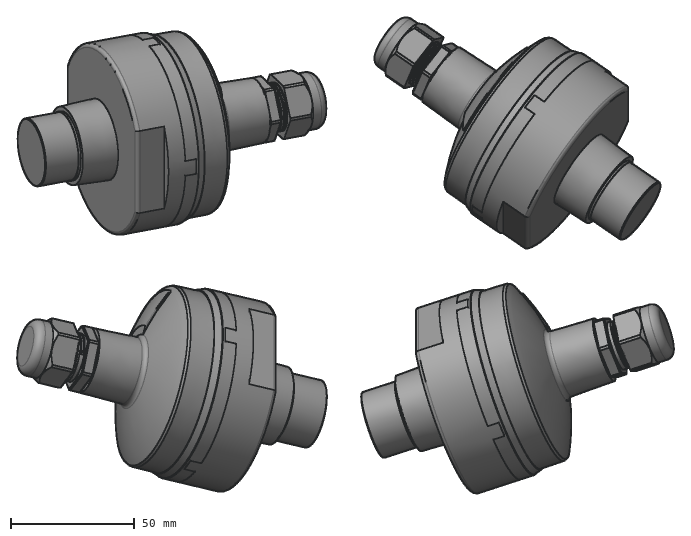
import cadquery as cq
import math


PROBE_R = 14.0
PROBE_CHAMFER = 0.4
COLLAR_R = 14.3
COLLAR_Y = 14.7
BOSS_Y = 15.7
BOSS_TIP_R = 16.2
BOSS_ROOT_R = 16.8
HOUSING_Y = 31.0
HOUSING_DIAMETER = 78.9
HOUSING_R = HOUSING_DIAMETER / 2
HOUSING_FILLET = 1.5
FLAT_X = 35.0
FLAT_END_Y = 43.3

JOINT_Y = 50.8
TAB_COUNT = 4
TAB_WIDTH = 6.6
TAB_HEIGHT = 4.8
TAB_DEPTH = 3.8

RIM_Y = 56.6
RIM_CHAMFER = 0.3
BEVEL_TOP_R = 38.2
BEVEL_TOP_Y = 59.9
DRUM_BASE_R = 37.9
DRUM_TOP_R = 37.7
DRUM_TOP_Y = 70.0
DOME_BASE_R = 37.2
DOME_BASE_Y = 71.2
DOME_MID_R = 26.6
DOME_MID_Y = 75.8
DOME_TOP_R = 15.3
DOME_TOP_Y = 79.3
NECK_ROOT_MID_R = 14.3
NECK_ROOT_MID_Y = 80.0
NECK_BASE_R = 13.9
NECK_BASE_Y = 81.4
NECK_TOP_R = 13.4
NECK_TOP_Y = 99.8

PAD_ANGLE = 80.0
PAD_OUTER_R = 35.3
PAD_EDGE_Y = 72.7
PAD_MID_R = 27.5
PAD_MID_Y = 76.2
PAD_TOP_R = 19.1
PAD_CORNER_R = 1.3
PAD_EDGE_FILLET = 0.4

HEX_ACROSS_FLATS = 23.8
HEX_CORNER_R = 13.4
GLAND_HEX_TOP_Y = 104.8
GLAND_HEX_CHAMFER = 0.5
THREAD_R = 10.1
THREAD_PITCH = 1.5
THREAD_DEPTH = 0.6
THREAD_GROOVE_WIDTH = 1.1
GROOVE_OVERSHOOT = 0.1
THREAD_START_Y = 105.9
THREAD_START_ANGLE = 155.0
THREAD_TURNS = 4
NUT_Y = 108.6
THREAD_ENGAGEMENT = 7.6
NUT_HEX_TOP_Y = 119.5
NUT_CHAMFER = 1.6
NUT_DOME_R = 11.8
NUT_DOME_FILLET = 3.5
OVERALL_LENGTH = 126.6


def disc(radius, y_from, y_to):
    """Cylinder on the Y axis."""
    return cq.Workplane("XZ", origin=(0, y_from, 0)).circle(radius).extrude(y_from - y_to)


def hexagon(y_from, y_to):
    """Hexagonal prism on the Y axis, with one pair of flats facing +Z and -Z."""
    across_corners = HEX_ACROSS_FLATS / math.cos(math.pi / 6)
    return cq.Workplane("XZ", origin=(0, y_from, 0)).polygon(6, across_corners).extrude(y_from - y_to)


def revolve_about_y(profile, angle=360.0):
    """Revolve a closed-up (radius, Y) profile; the sweep is centred on the +Z direction."""
    turned = profile.close().revolve(angle, (0, 0, 0), (0, 1, 0))
    return turned.rotate((0, 0, 0), (0, 1, 0), -90.0 - angle / 2)


def make_tabs():
    """Blocks that key the housing into the cap rim, spaced evenly around the axis."""
    rim = disc(HOUSING_R, JOINT_Y, JOINT_Y + TAB_HEIGHT)
    rim = rim.cut(disc(HOUSING_R - TAB_DEPTH, JOINT_Y, JOINT_Y + TAB_HEIGHT))
    tabs = cq.Workplane()
    for index in range(TAB_COUNT):
        block = (
            cq.Workplane("XY")
            .box(TAB_WIDTH, TAB_HEIGHT, HOUSING_R, centered=(True, False, False))
            .translate((0, JOINT_Y, 0))
            .rotate((0, 0, 0), (0, 1, 0), index * 360.0 / TAB_COUNT)
        )
        tabs = tabs.add(rim.intersect(block))
    return tabs


def make_housing(tabs):
    """Flanged body with wrench flats, carrying the tapered boss and probe in front and the tabs behind."""
    body = disc(HOUSING_R, HOUSING_Y, JOINT_Y)
    flat_length = FLAT_END_Y - HOUSING_Y
    for side in (-1, 1):
        waste = cq.Workplane("XY").box(HOUSING_R, flat_length, 2 * HOUSING_R).translate(
            (side * (FLAT_X + HOUSING_R / 2), HOUSING_Y + flat_length / 2, 0)
        )
        body = body.cut(waste)
    body = body.faces("<Y").edges().fillet(HOUSING_FILLET)

    probe = revolve_about_y(
        cq.Workplane("XY")
        .moveTo(0, 0)
        .lineTo(PROBE_R - PROBE_CHAMFER, 0)
        .lineTo(PROBE_R, PROBE_CHAMFER)
        .lineTo(PROBE_R, COLLAR_Y)
        .lineTo(COLLAR_R, COLLAR_Y)
        .lineTo(COLLAR_R, BOSS_Y)
        .lineTo(BOSS_TIP_R, BOSS_Y)
        .lineTo(BOSS_ROOT_R, HOUSING_Y)
        .lineTo(0, HOUSING_Y)
    )
    housing = body.union(probe)
    for tab in tabs.vals():
        housing = housing.union(cq.Workplane(tab))
    return housing


def make_label_pad():
    """Sector of a raised shell on the dome, centred on +Z; its root is buried in the dome."""
    profile = (
        cq.Workplane("XY")
        .moveTo(DOME_TOP_R, DRUM_TOP_Y)
        .lineTo(PAD_OUTER_R, DRUM_TOP_Y)
        .lineTo(PAD_OUTER_R, PAD_EDGE_Y)
        .threePointArc((PAD_MID_R, PAD_MID_Y), (PAD_TOP_R, DOME_TOP_Y))
        .lineTo(DOME_TOP_R, DOME_TOP_Y)
    )
    pad = revolve_about_y(profile, PAD_ANGLE)
    pad = pad.edges("|Y").edges(">Z").fillet(PAD_CORNER_R)
    return pad.faces(">Z").edges(">Y").fillet(PAD_EDGE_FILLET)


def make_cap(tabs):
    """Domed cap with a tapered neck; its rim is notched where the housing tabs enter."""
    shell = revolve_about_y(
        cq.Workplane("XY")
        .moveTo(0, JOINT_Y)
        .lineTo(HOUSING_R, JOINT_Y)
        .lineTo(HOUSING_R, RIM_Y)
        .lineTo(HOUSING_R - RIM_CHAMFER, RIM_Y + RIM_CHAMFER)
        .lineTo(BEVEL_TOP_R, BEVEL_TOP_Y)
        .lineTo(DRUM_BASE_R, BEVEL_TOP_Y)
        .lineTo(DRUM_TOP_R, DRUM_TOP_Y)
        .lineTo(DOME_BASE_R, DOME_BASE_Y)
        .threePointArc((DOME_MID_R, DOME_MID_Y), (DOME_TOP_R, DOME_TOP_Y))
        .threePointArc((NECK_ROOT_MID_R, NECK_ROOT_MID_Y), (NECK_BASE_R, NECK_BASE_Y))
        .lineTo(NECK_TOP_R, NECK_TOP_Y)
        .lineTo(0, NECK_TOP_Y)
    )
    cap = shell.union(make_label_pad())
    for tab in tabs.vals():
        cap = cap.cut(cq.Workplane(tab))
    return cap


def make_thread_groove():
    """Right-handed V groove swept along a helix; its mouth reaches just outside the spigot."""
    helix = cq.Wire.makeHelix(THREAD_PITCH, THREAD_TURNS * THREAD_PITCH, THREAD_R)
    outer_r = THREAD_R + GROOVE_OVERSHOOT
    half_mouth = THREAD_GROOVE_WIDTH / 2 * (THREAD_DEPTH + GROOVE_OVERSHOOT) / THREAD_DEPTH
    groove = (
        cq.Workplane("XZ")
        .polyline([(THREAD_R - THREAD_DEPTH, 0), (outer_r, half_mouth), (outer_r, -half_mouth)])
        .close()
        .sweep(cq.Workplane(helix), isFrenet=True)
    )
    return (
        groove.rotate((0, 0, 0), (0, 0, 1), THREAD_START_ANGLE)
        .rotate((0, 0, 0), (1, 0, 0), -90)
        .translate((0, THREAD_START_Y, 0))
    )


def make_gland_body():
    """Hexagon seated on the neck, with a threaded spigot that enters the nut."""
    corner_disc = disc(HEX_CORNER_R, NECK_TOP_Y, GLAND_HEX_TOP_Y)
    base = hexagon(NECK_TOP_Y, GLAND_HEX_TOP_Y).intersect(corner_disc)
    base = base.faces("<Y or >Y").edges().chamfer(GLAND_HEX_CHAMFER)
    spigot = disc(THREAD_R, GLAND_HEX_TOP_Y, NUT_Y + THREAD_ENGAGEMENT)
    return base.union(spigot.cut(make_thread_groove()))


def make_gland_nut():
    """Closed domed nut with a blind bore for the spigot."""
    corner_disc = disc(HEX_CORNER_R, NUT_Y, NUT_HEX_TOP_Y).faces(">Y").edges().chamfer(NUT_CHAMFER)
    nut = hexagon(NUT_Y, NUT_HEX_TOP_Y).intersect(corner_disc)
    dome = disc(NUT_DOME_R, NUT_HEX_TOP_Y, OVERALL_LENGTH).faces(">Y").edges().fillet(NUT_DOME_FILLET)
    bore = disc(THREAD_R, NUT_Y, NUT_Y + THREAD_ENGAGEMENT)
    return nut.union(dome).cut(bore)


tabs = make_tabs()
housing = make_housing(tabs)
cap = make_cap(tabs)
gland_body = make_gland_body()
gland_nut = make_gland_nut()

result = cq.Compound.makeCompound([housing.val(), cap.val(), gland_body.val(), gland_nut.val()])